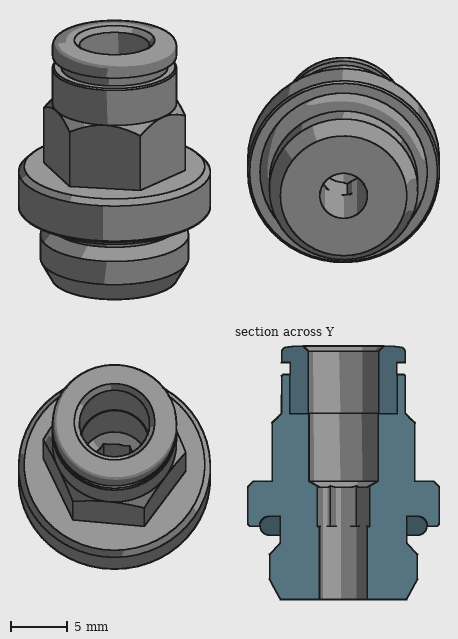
import cadquery as cq
import math

TIP_TOP = 1.8
THREAD_TOP = 4.0
UNDERCUT_BOTTOM = 5.0
SEAL_BOTTOM = 5.7
FLANGE_BOTTOM = 6.5
FLANGE_TOP = 10.5
HEX_TOP = 16.52
SLEEVE_TOP = 19.98
CAP_BOTTOM = 21.02
TOTAL_HEIGHT = 22.5

TIP_DIAMETER = 11.2
THREAD_DIAMETER = 13.16
UNDERCUT_DIAMETER = 11.3
FLANGE_DIAMETER = 17.0
FLANGE_TOP_CHAMFER = 0.5
FLANGE_BOTTOM_CHAMFER = 0.18
SLEEVE_DIAMETER = 11.0
SLEEVE_CHAMFER = 0.14
HEX_ACROSS_FLATS = SLEEVE_DIAMETER
HEX_ACROSS_CORNERS = HEX_ACROSS_FLATS / math.cos(math.pi / 6)
HEX_CHAMFER_HEIGHT = 0.83

THROUGH_HOLE_DIAMETER = 4.2
TUBE_BORE_DIAMETER = 6.1
RING_SEAT = HEX_TOP
TUBE_STOP = FLANGE_TOP
TUBE_STOP_SLOPE = math.radians(30)
KEY_ACROSS_FLATS = 4.0
KEY_FLOOR = FLANGE_BOTTOM
KEY_ACROSS_CORNERS = KEY_ACROSS_FLATS / math.cos(math.pi / 6)

CAP_DIAMETER = SLEEVE_DIAMETER
NECK_DIAMETER = 9.5
RING_BORE_DIAMETER = 6.2
RING_MOUTH_DIAMETER = 7.13
RING_MOUTH_DEPTH = (RING_MOUTH_DIAMETER - RING_BORE_DIAMETER) / 2
CAP_FLAT_DIAMETER = 8.6
CAP_SLOPE_DIAMETER = 10.12
CAP_SLOPE_DROP = 0.1
CAP_ROUND_BOTTOM = 21.94

SEAL_FACE_DIAMETER = 13.16
SEAL_ROUND = 0.83
SEAL_OUTER_DIAMETER = SEAL_FACE_DIAMETER + 2 * SEAL_ROUND
SEAL_TOP = SEAL_BOTTOM + 2 * SEAL_ROUND


def cylinder(diameter, bottom, top):
    """Upright cylinder on the Z axis between two heights."""
    return cq.Workplane("XY").workplane(offset=bottom).circle(diameter / 2).extrude(top - bottom)


def hex_prism(across_corners, bottom, top):
    """Upright hexagon with two corners on the X axis."""
    return cq.Workplane("XY").workplane(offset=bottom).polygon(6, across_corners).extrude(top - bottom)


def revolve_outline(outline):
    """Turn a closed XZ outline a full turn around Z."""
    return outline.close().revolve(360, (0, 0, 0), (0, 1, 0))


def make_turned_outside():
    """Threaded end, undercut and flange."""
    flange_radius = FLANGE_DIAMETER / 2
    return revolve_outline(
        cq.Workplane("XZ")
        .moveTo(0, 0)
        .lineTo(TIP_DIAMETER / 2, 0)
        .lineTo(THREAD_DIAMETER / 2, TIP_TOP)
        .lineTo(THREAD_DIAMETER / 2, THREAD_TOP)
        .lineTo(UNDERCUT_DIAMETER / 2, UNDERCUT_BOTTOM)
        .lineTo(UNDERCUT_DIAMETER / 2, FLANGE_BOTTOM)
        .lineTo(flange_radius - FLANGE_BOTTOM_CHAMFER, FLANGE_BOTTOM)
        .lineTo(flange_radius, FLANGE_BOTTOM + FLANGE_BOTTOM_CHAMFER)
        .lineTo(flange_radius, FLANGE_TOP - FLANGE_TOP_CHAMFER)
        .lineTo(flange_radius - FLANGE_TOP_CHAMFER, FLANGE_TOP)
        .lineTo(0, FLANGE_TOP)
    )


def make_hexagon():
    """Wrench hexagon with its upper corners turned off to a cone."""
    corner_radius = HEX_ACROSS_CORNERS / 2
    corner_cone = revolve_outline(
        cq.Workplane("XZ")
        .moveTo(0, FLANGE_TOP)
        .lineTo(corner_radius, FLANGE_TOP)
        .lineTo(corner_radius, HEX_TOP - HEX_CHAMFER_HEIGHT)
        .lineTo(HEX_ACROSS_FLATS / 2, HEX_TOP)
        .lineTo(0, HEX_TOP)
    )
    return hex_prism(HEX_ACROSS_CORNERS, FLANGE_TOP, HEX_TOP).intersect(corner_cone)


def make_stepped_bore():
    """Through hole, conical tube stop, tube bore and release ring seat."""
    hole_radius = THROUGH_HOLE_DIAMETER / 2
    bore_radius = TUBE_BORE_DIAMETER / 2
    stop_depth = (bore_radius - hole_radius) * math.tan(TUBE_STOP_SLOPE)
    return revolve_outline(
        cq.Workplane("XZ")
        .moveTo(0, 0)
        .lineTo(hole_radius, 0)
        .lineTo(hole_radius, TUBE_STOP - stop_depth)
        .lineTo(bore_radius, TUBE_STOP)
        .lineTo(bore_radius, RING_SEAT)
        .lineTo(NECK_DIAMETER / 2, RING_SEAT)
        .lineTo(NECK_DIAMETER / 2, SLEEVE_TOP)
        .lineTo(0, SLEEVE_TOP)
    )


def make_housing(seal):
    """Hexagon fitting body with its stepped bore, key socket and seal recess."""
    sleeve = cylinder(SLEEVE_DIAMETER, HEX_TOP, SLEEVE_TOP).faces(">Z").chamfer(SLEEVE_CHAMFER)
    housing = make_turned_outside().union(make_hexagon()).union(sleeve)
    key_socket = hex_prism(KEY_ACROSS_CORNERS, KEY_FLOOR, TUBE_STOP)
    return housing.cut(make_stepped_bore()).cut(key_socket).cut(seal)


def make_release_ring():
    """Push ring with a rounded cap and a neck seated in the housing."""
    bore_radius = RING_BORE_DIAMETER / 2
    neck_radius = NECK_DIAMETER / 2
    cap_radius = CAP_DIAMETER / 2
    slope_radius = CAP_SLOPE_DIAMETER / 2
    slope_end_z = TOTAL_HEIGHT - CAP_SLOPE_DROP
    return revolve_outline(
        cq.Workplane("XZ")
        .moveTo(bore_radius, RING_SEAT)
        .lineTo(neck_radius, RING_SEAT)
        .lineTo(neck_radius, CAP_BOTTOM)
        .lineTo(cap_radius, CAP_BOTTOM)
        .lineTo(cap_radius, CAP_ROUND_BOTTOM)
        .tangentArcPoint((slope_radius, slope_end_z), relative=False)
        .lineTo(CAP_FLAT_DIAMETER / 2, TOTAL_HEIGHT)
        .lineTo(RING_MOUTH_DIAMETER / 2, TOTAL_HEIGHT)
        .lineTo(bore_radius, TOTAL_HEIGHT - RING_MOUTH_DEPTH)
    )


def make_seal():
    """Sealing ring let into the flange, round on its outer side."""
    inner_radius = UNDERCUT_DIAMETER / 2
    face_radius = SEAL_FACE_DIAMETER / 2
    return revolve_outline(
        cq.Workplane("XZ")
        .moveTo(inner_radius, SEAL_BOTTOM)
        .lineTo(face_radius, SEAL_BOTTOM)
        .threePointArc((SEAL_OUTER_DIAMETER / 2, SEAL_BOTTOM + SEAL_ROUND), (face_radius, SEAL_TOP))
        .lineTo(inner_radius, SEAL_TOP)
    )


seal = make_seal()
housing = make_housing(seal)
release_ring = make_release_ring()

result = cq.Compound.makeCompound([housing.val(), release_ring.val(), seal.val()])